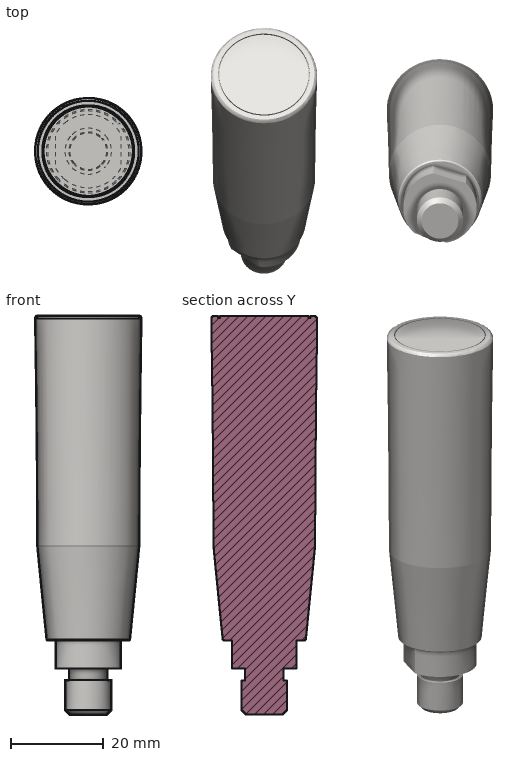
import cadquery as cq

total_height = 86.0
thread_top = 7.5
collar_bottom = 10.0
grip_bottom = 16.0
grip_break = 36.4

thread_diameter = 10.0
thread_chamfer = 1.0
neck_diameter = 8.3
collar_diameter = 15.8
across_flats = 14.0

grip_bottom_diameter = 18.0
grip_bottom_chamfer = 0.3
grip_break_diameter = 22.0
grip_top_diameter = 23.0
flare_hollow = 0.1
top_round = 0.6

groove_outer_diameter = 19.8
groove_width = 0.3
groove_depth = 0.5


def cylinder(diameter, bottom, top):
    """Upright cylinder on the Z axis between two levels."""
    return cq.Workplane("XY").workplane(offset=bottom).circle(diameter / 2).extrude(top - bottom)


def make_stud():
    """Chamfered thread blank with a thinner neck up to the collar."""
    thread = cylinder(thread_diameter, 0, thread_top).faces("<Z").chamfer(thread_chamfer)
    neck = cylinder(neck_diameter, thread_top, collar_bottom)
    return thread.union(neck)


def make_collar():
    """Round collar with two wrench flats facing -X and +X."""
    height = grip_bottom - collar_bottom
    flats = (
        cq.Workplane("XY")
        .workplane(offset=collar_bottom)
        .rect(across_flats, collar_diameter)
        .extrude(height)
    )
    return cylinder(collar_diameter, collar_bottom, grip_bottom).intersect(flats)


def make_grip():
    """Revolved grip with a conical lower part and an arc-shaped flare, eased at both ends."""
    bottom_radius = grip_bottom_diameter / 2
    break_radius = grip_break_diameter / 2
    top_radius = grip_top_diameter / 2
    flare_middle = ((break_radius + top_radius) / 2 - flare_hollow, (grip_break + total_height) / 2)
    grip = (
        cq.Workplane("XZ")
        .moveTo(0, grip_bottom)
        .lineTo(bottom_radius, grip_bottom)
        .lineTo(break_radius, grip_break)
        .threePointArc(flare_middle, (top_radius, total_height))
        .lineTo(0, total_height)
        .close()
        .revolve(360, (0, 0, 0), (0, 1, 0))
    )
    return grip.faces("<Z").edges().chamfer(grip_bottom_chamfer).faces(">Z").edges().fillet(top_round)


def make_cap_groove():
    """Ring to cut from the top face around the end cap."""
    return (
        cq.Workplane("XY")
        .workplane(offset=total_height - groove_depth)
        .circle(groove_outer_diameter / 2)
        .circle(groove_outer_diameter / 2 - groove_width)
        .extrude(groove_depth)
    )


result = make_stud().union(make_collar()).union(make_grip()).cut(make_cap_groove())